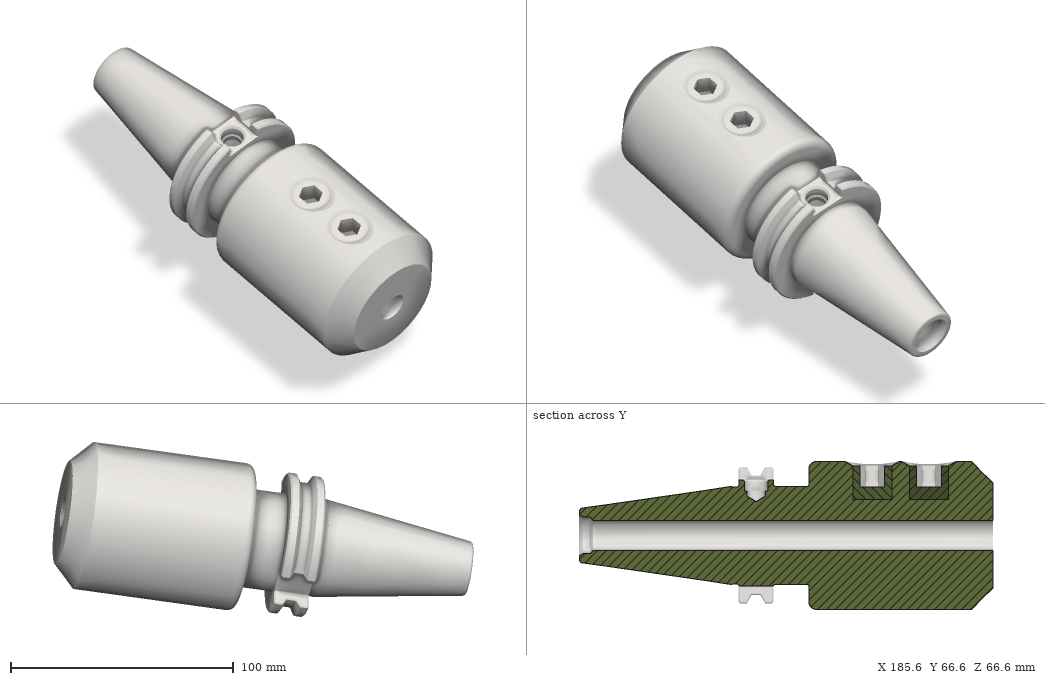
import cadquery as cq
import math

length = 185.6

gauge_diameter = 44.4
taper_length = 68.3
taper_slope = 7 / 48
land_diameter = 44.0
tip_diameter = gauge_diameter - 2 * taper_slope * taper_length
tip_fillet = 1.3

flange_start = 71.5
flange_end = 87.2
flange_diameter = 63.5
flange_chamfer = 0.7
groove_center = (flange_start + flange_end) / 2
groove_diameter = 56.5
groove_floor_width = 4.0
groove_flank_angle = 30.0

neck_diameter = 44.4
root_fillet = 0.5
collar_start = 102.8
collar_diameter = 66.6
collar_fillet = 3.5
nose_chamfer = 9.7

slot_width = 16.1
slot_edge_chamfer = 0.5
slot_floor_fillet = 0.5
tolerance = 0.02
top_slot_floor = 25.0
bottom_slot_floor = 22.8

slot_hole_diameter = 8.0
slot_hole_depth = 7.5
slot_hole_tip_angle = 118.0
slot_hole_counterbore_diameter = 10.2
slot_hole_counterbore_depth = 5.0
slot_hole_chamfer = 1.0

bore_diameter = 13.4
pilot_diameter = 16.1
pilot_depth = 4.8
pilot_mouth_diameter = 18.2
mouth_half_angle = 30.0
step_half_angle = 45.0

screw_diameter = 17.3
screw_top = 31.2
screw_length = 14.8
screw_spacing = 25.5
first_screw_x = 131.4
screw_positions = [first_screw_x, first_screw_x + screw_spacing]
countersink_half_angle = 60.0
hex_across_flats = 9.5
hex_depth = 9.3


def cone_length(large_diameter, small_diameter, half_angle):
    """Axial length of a cone between two diameters."""
    return (large_diameter - small_diameter) / 2 / math.tan(math.radians(half_angle))


def disc(diameter, start, end):
    """Cylinder about the X axis."""
    return cq.Workplane("YZ", origin=(start, 0, 0)).circle(diameter / 2).extrude(end - start)


def make_shank():
    """Taper with a rounded tip, ending in a short land that is filleted into the flange."""
    land_radius = land_diameter / 2
    shank = (
        cq.Workplane("XY")
        .lineTo(0, tip_diameter / 2)
        .lineTo(taper_length, gauge_diameter / 2)
        .lineTo(taper_length, land_radius)
        .lineTo(flange_start - root_fillet, land_radius)
        .radiusArc((flange_start, land_radius + root_fillet), -root_fillet)
        .lineTo(flange_start, 0)
        .close()
        .revolve(360, (0, 0, 0), (1, 0, 0))
    )
    return shank.faces("<X").edges().fillet(tip_fillet)


def make_flange():
    """Flange with a V groove and two unequal drive slots."""
    rim_radius = flange_diameter / 2
    floor_radius = groove_diameter / 2
    half_floor = groove_floor_width / 2
    flank_run = (rim_radius - floor_radius) * math.tan(math.radians(groove_flank_angle))
    half_mouth = half_floor + flank_run
    flange = disc(flange_diameter, flange_start, flange_end).edges().chamfer(flange_chamfer)
    groove = (
        cq.Workplane("XY")
        .moveTo(groove_center - half_floor, floor_radius)
        .lineTo(groove_center + half_floor, floor_radius)
        .lineTo(groove_center + half_mouth, rim_radius)
        .lineTo(groove_center - half_mouth, rim_radius)
        .close()
        .revolve(360, (0, 0, 0), (1, 0, 0))
    )
    flange = flange.cut(groove)
    for floor, side in ((top_slot_floor, 1), (bottom_slot_floor, -1)):
        flange = flange.cut(make_slot(floor, side))
    return finish_slot_edges(flange)


def make_slot(floor, side):
    """Cutter for one drive slot."""
    slot = cq.Workplane("XY", origin=(groove_center, 0, side * floor))
    return slot.rect(flange_end - flange_start, slot_width).extrude(side * flange_diameter / 2)


def is_floor_corner(edge):
    """True for an edge that lies at the floor of either slot."""
    height = edge.Center().z
    return min(abs(height - top_slot_floor), abs(height + bottom_slot_floor)) < tolerance


def finish_slot_edges(flange):
    """Chamfer the rims of the slot walls and round the corners at the slot floors."""
    rims = flange.faces("|Y").edges().filter(lambda edge: not is_floor_corner(edge))
    flange = rims.chamfer(slot_edge_chamfer)
    corners = flange.faces("|Y").edges().filter(is_floor_corner)
    return corners.fillet(slot_floor_fillet)


def make_collar():
    """Large cylinder with a rounded back edge and a chamfered nose."""
    collar = disc(collar_diameter, collar_start, length)
    return collar.faces("<X").edges().fillet(collar_fillet).faces(">X").edges().chamfer(nose_chamfer)


def make_neck():
    """Neck with a small fillet against the flange and against the collar."""
    radius = neck_diameter / 2
    outer = radius + root_fillet
    return (
        cq.Workplane("XY")
        .moveTo(flange_end, 0)
        .lineTo(flange_end, outer)
        .radiusArc((flange_end + root_fillet, radius), -root_fillet)
        .lineTo(collar_start - root_fillet, radius)
        .radiusArc((collar_start, outer), -root_fillet)
        .lineTo(collar_start, 0)
        .close()
        .revolve(360, (0, 0, 0), (1, 0, 0))
    )


def make_bore():
    """Cutter for the through bore with its conical mouth and wider pilot."""
    mouth_end = cone_length(pilot_mouth_diameter, pilot_diameter, mouth_half_angle)
    bore_start = pilot_depth + cone_length(pilot_diameter, bore_diameter, step_half_angle)
    profile = [
        (0, 0),
        (0, pilot_mouth_diameter / 2),
        (mouth_end, pilot_diameter / 2),
        (pilot_depth, pilot_diameter / 2),
        (bore_start, bore_diameter / 2),
        (length, bore_diameter / 2),
        (length, 0),
    ]
    return cq.Workplane("XY").polyline(profile).close().revolve(360, (0, 0, 0), (1, 0, 0))


def make_slot_hole():
    """Cutter for the counterbored blind hole in the top slot."""
    radius = slot_hole_diameter / 2
    step_radius = slot_hole_counterbore_diameter / 2
    tip_depth = slot_hole_depth + cone_length(slot_hole_diameter, 0, slot_hole_tip_angle / 2)
    profile = [
        (0, 0),
        (step_radius + slot_hole_chamfer, 0),
        (step_radius, -slot_hole_chamfer),
        (step_radius, -slot_hole_counterbore_depth),
        (radius, -slot_hole_counterbore_depth),
        (radius, -slot_hole_depth),
        (0, -tip_depth),
    ]
    hole = cq.Workplane("XZ").polyline(profile).close().revolve(360, (0, 0, 0), (0, 1, 0))
    return hole.translate((groove_center, 0, top_slot_floor))


def make_screw_seat(x):
    """Cutter for one screw hole with its wide countersink."""
    radius = screw_diameter / 2
    depth = collar_diameter / 2 - screw_top
    mouth_radius = radius + depth * math.tan(math.radians(countersink_half_angle))
    profile = [
        (0, screw_top - screw_length),
        (radius, screw_top - screw_length),
        (radius, screw_top),
        (mouth_radius, collar_diameter / 2),
        (0, collar_diameter / 2),
    ]
    seat = cq.Workplane("XZ").polyline(profile).close().revolve(360, (0, 0, 0), (0, 1, 0))
    return seat.translate((x, 0, 0))


def make_screw(x):
    """Headless clamping screw with a hexagon socket."""
    socket_diameter = hex_across_flats / math.cos(math.radians(30))
    screw = cq.Workplane("XY", origin=(x, 0, screw_top)).circle(screw_diameter / 2).extrude(-screw_length)
    socket = cq.Workplane("XY", origin=(x, 0, screw_top)).polygon(6, socket_diameter).extrude(-hex_depth)
    return screw.cut(socket)


def make_holder():
    """Holder body with its bore, slot hole and screw seats."""
    holder = make_shank().union(make_flange()).union(make_neck()).union(make_collar())
    holder = holder.cut(make_bore()).cut(make_slot_hole())
    for x in screw_positions:
        holder = holder.cut(make_screw_seat(x))
    return holder


holder = make_holder()
screws = [make_screw(x) for x in screw_positions]

result = cq.Compound.makeCompound([holder.val(), *[screw.val() for screw in screws]])